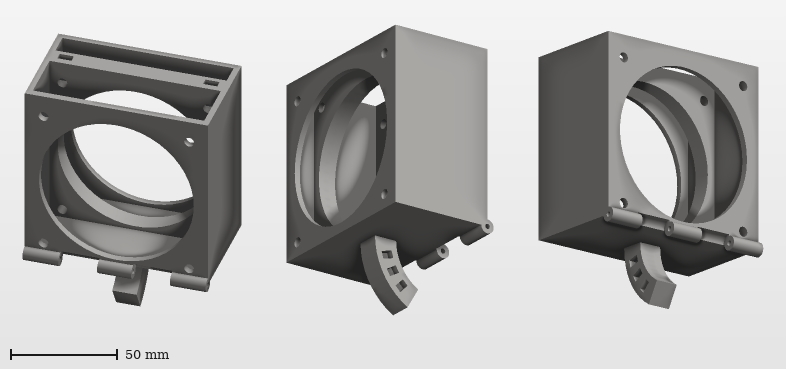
import cadquery as cq
import math


side = 90.0
front_plate = 3.4
front_bay = 26.0
middle_plate = 9.2
rear_bay = 10.9
shell = 2.9
housing_depth = front_plate + front_bay + middle_plate + rear_bay + shell
middle_front = front_plate + front_bay
rear_bay_front = middle_front + middle_plate

fan_bore = 76.0
screw_hole = 4.9
screw_pitch = 71.5
fan_centre_z = 43.0

nut_slot_width = 7.0
nut_slot_thickness = 3.8
nut_slot_front = 3.2
upper_screw_z = fan_centre_z + screw_pitch / 2
nut_slot_bottom = upper_screw_z - nut_slot_width / 2

knuckle_diameter = 7.1
hinge_pin_bore = 2.6
outer_knuckle_length = 17.6
centre_knuckle_length = 16.7
knuckle_clearance_radius = 4.3
hinge_gap = (side - centre_knuckle_length) / 2 - outer_knuckle_length

overall_height = 122
arm_inner_radius = 25.0
arm_width = 12.0
arm_sweep = 60
arm_outer_radius = (overall_height - side) / math.sin(math.radians(arm_sweep))
arm_pocket_angles = (15, 30, 45)
arm_pocket_length = 5.9
arm_pocket_height = 3.8
arm_pocket_depth = 3.7


def box(width, depth, height, front_y, bottom_z, centre_x=0):
    """Box centred on centre_x that starts at the given front and bottom."""
    return (
        cq.Workplane("XY")
        .box(width, depth, height, centered=(True, False, False))
        .translate((centre_x, front_y, bottom_z))
    )


def cylinder_x(diameter, length, centre_x=0):
    """Cylinder on the hinge axis, with its middle at centre_x."""
    return (
        cq.Workplane("YZ", origin=(centre_x - length / 2, 0, 0))
        .circle(diameter / 2)
        .extrude(length)
    )


def make_housing():
    bay_width = side - 2 * shell
    bay_height = side - shell
    housing = box(side, housing_depth, side, 0, 0)
    housing = housing.cut(box(bay_width, front_bay, bay_height, front_plate, shell))
    return housing.cut(box(bay_width, rear_bay, bay_height, rear_bay_front, shell))


def make_fan_cutters():
    plane = cq.Workplane("XZ", origin=(0, 0, fan_centre_z))
    bore = plane.circle(fan_bore / 2).extrude(-housing_depth)
    screws = plane.rect(screw_pitch, screw_pitch, forConstruction=True).vertices()
    return bore.union(screws.circle(screw_hole / 2).extrude(-housing_depth))


def make_nut_slot(centre_x):
    return box(
        nut_slot_width,
        nut_slot_thickness,
        side - nut_slot_bottom,
        middle_front + nut_slot_front,
        nut_slot_bottom,
        centre_x,
    )


def make_arm():
    end = math.radians(arm_sweep)

    def on_arc(radius, angle):
        return (radius * math.cos(angle), -radius * math.sin(angle))

    arm = (
        cq.Workplane("YZ", origin=(-arm_width / 2, 0, 0))
        .moveTo(*on_arc(arm_inner_radius, 0))
        .lineTo(*on_arc(arm_outer_radius, 0))
        .threePointArc(on_arc(arm_outer_radius, end / 2), on_arc(arm_outer_radius, end))
        .lineTo(*on_arc(arm_inner_radius, end))
        .threePointArc(on_arc(arm_inner_radius, end / 2), on_arc(arm_inner_radius, 0))
        .close()
        .extrude(arm_width)
    )
    pocket_radius = (arm_inner_radius + arm_outer_radius) / 2
    pocket = cq.Workplane("XY").box(arm_pocket_depth, arm_pocket_length, arm_pocket_height)
    pocket = pocket.translate(((arm_pocket_depth - arm_width) / 2, pocket_radius, 0))
    for angle in arm_pocket_angles:
        arm = arm.cut(pocket.rotate((0, 0, 0), (1, 0, 0), -angle))
    return arm


result = make_housing().cut(make_fan_cutters())
for sign in (-1, 1):
    result = result.cut(make_nut_slot(sign * screw_pitch / 2))

for sign in (-1, 1):
    gap_x = sign * (centre_knuckle_length + hinge_gap) / 2
    result = result.cut(cylinder_x(2 * knuckle_clearance_radius, hinge_gap, gap_x))

result = result.union(make_arm())

result = result.union(cylinder_x(knuckle_diameter, centre_knuckle_length))
for sign in (-1, 1):
    outer_x = sign * (side - outer_knuckle_length) / 2
    result = result.union(cylinder_x(knuckle_diameter, outer_knuckle_length, outer_x))
result = result.cut(cylinder_x(hinge_pin_bore, side))